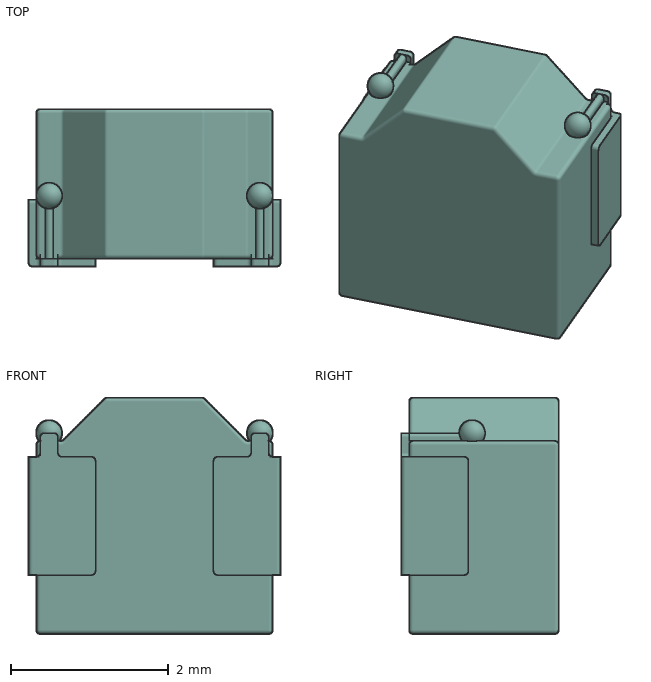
import cadquery as cq

BODY_WIDTH = 3.0
BODY_HEIGHT = 3.0
BODY_DEPTH = 1.9
SHELF_HEIGHT = 2.45
SLOPE_RUN = BODY_HEIGHT - SHELF_HEIGHT
SHELF_WIDTH = 0.33
EDGE_RADIUS = 0.05

TOTAL_WIDTH = 3.2
PLATE_THICKNESS = (TOTAL_WIDTH - BODY_WIDTH) / 2
PLATE_REACH = 0.85
PLATE_BOTTOM = 0.75
PLATE_TOP = 2.25
PLATE_RADIUS = 0.05

TAB_OUTSET = 0.15
TAB_WIDTH = 0.225
TAB_TOP = 2.55

WIRE_WIDTH = TAB_TOP - SHELF_HEIGHT
BALL_RADIUS = 0.165
BALL_Y = 0.9

HALF_WIDTH = TOTAL_WIDTH / 2
BODY_FRONT = PLATE_THICKNESS
TAB_LEFT = -HALF_WIDTH + TAB_OUTSET
TAB_RIGHT = TAB_LEFT + TAB_WIDTH
TAB_CENTER = (TAB_LEFT + TAB_RIGHT) / 2


def box(x_min, x_max, y_min, y_max, z_min, z_max):
    """Block given by its limits along each axis."""
    size = (x_max - x_min, y_max - y_min, z_max - z_min)
    return cq.Workplane("XY").box(*size, centered=False).translate((x_min, y_min, z_min))


def make_body():
    half = BODY_WIDTH / 2
    slope_foot = half - SHELF_WIDTH
    top_half = slope_foot - SLOPE_RUN
    outline = [
        (-half, 0),
        (half, 0),
        (half, SHELF_HEIGHT),
        (slope_foot, SHELF_HEIGHT),
        (top_half, BODY_HEIGHT),
        (-top_half, BODY_HEIGHT),
        (-slope_foot, SHELF_HEIGHT),
        (-half, SHELF_HEIGHT),
    ]
    block = cq.Workplane("XZ").polyline(outline).close().extrude(-BODY_DEPTH)
    return block.edges().fillet(EDGE_RADIUS).translate((0, BODY_FRONT, 0))


def make_front_plate():
    """Front leg of the left terminal with its tab."""
    plate_right = -HALF_WIDTH + PLATE_REACH
    outline = [
        (-HALF_WIDTH, PLATE_BOTTOM),
        (plate_right, PLATE_BOTTOM),
        (plate_right, PLATE_TOP),
        (TAB_RIGHT, PLATE_TOP),
        (TAB_RIGHT, TAB_TOP),
        (TAB_LEFT, TAB_TOP),
        (TAB_LEFT, PLATE_TOP),
        (-HALF_WIDTH, PLATE_TOP),
    ]
    plate = cq.Workplane("XZ").polyline(outline).close().extrude(-PLATE_THICKNESS)
    inner_corners = cq.selectors.BoxSelector(
        (-HALF_WIDTH + PLATE_THICKNESS, 0, PLATE_BOTTOM - PLATE_RADIUS),
        (plate_right + PLATE_RADIUS, PLATE_THICKNESS, TAB_TOP + PLATE_RADIUS),
    )
    corners = plate.edges("|Y").edges(inner_corners)
    return corners.fillet(PLATE_RADIUS)


def make_side_plate():
    """Side leg of the left terminal, filled in against the rounded body corner."""
    side = box(-HALF_WIDTH, -HALF_WIDTH + PLATE_THICKNESS, 0, PLATE_REACH, PLATE_BOTTOM, PLATE_TOP)
    side = side.edges("|X and >Y").fillet(PLATE_RADIUS)
    corner_fill = box(
        -HALF_WIDTH, -BODY_WIDTH / 2 + EDGE_RADIUS,
        0, BODY_FRONT + EDGE_RADIUS,
        PLATE_BOTTOM, PLATE_TOP,
    )
    return side.union(corner_fill)


def make_terminal():
    bent_plate = make_front_plate().union(make_side_plate())
    bend = bent_plate.edges("|Z").edges("<X").edges("<Y")
    return bend.fillet(EDGE_RADIUS)


def make_tab_backing():
    """Squares off the rounded shelf edge behind the tab."""
    return box(
        TAB_LEFT, TAB_RIGHT,
        BODY_FRONT, BODY_FRONT + EDGE_RADIUS,
        SHELF_HEIGHT - EDGE_RADIUS, SHELF_HEIGHT,
    )


def make_wire():
    """Wire with a half-round top and straight sides down to the shelf."""
    radius = WIRE_WIDTH / 2
    side_top = TAB_TOP - radius
    profile = (
        cq.Workplane("XZ", origin=(TAB_CENTER, BODY_FRONT, 0))
        .moveTo(-radius, SHELF_HEIGHT)
        .lineTo(radius, SHELF_HEIGHT)
        .lineTo(radius, side_top)
        .threePointArc((0, TAB_TOP), (-radius, side_top))
        .close()
    )
    return profile.extrude(-(BALL_Y - BODY_FRONT))


def make_ball():
    return cq.Workplane("XY").sphere(BALL_RADIUS).translate((TAB_CENTER, BALL_Y, TAB_TOP))


left_side = make_terminal().union(make_tab_backing()).union(make_wire()).union(make_ball())
result = make_body().union(left_side).union(left_side.mirror("YZ"))